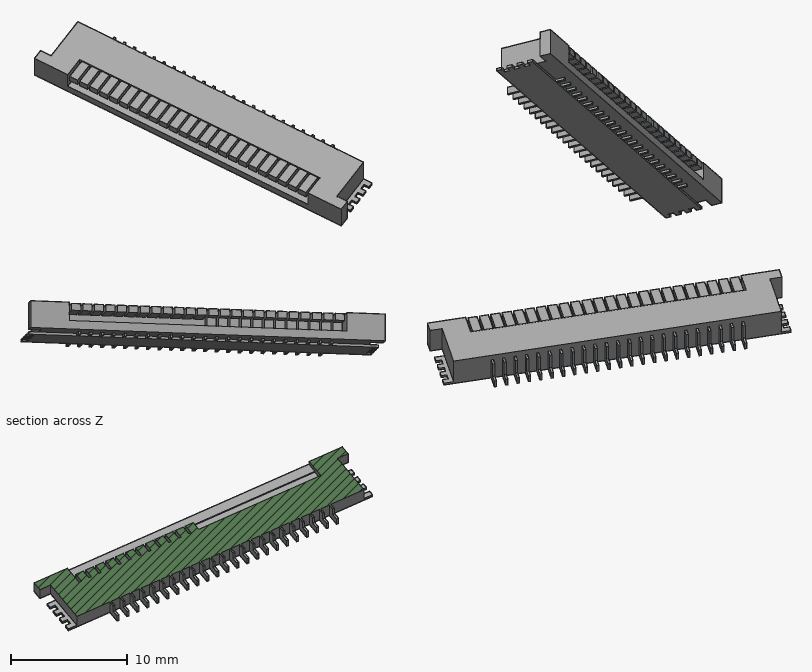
import cadquery as cq

total_width = 30.92
total_depth = 6.54
total_height = 2.56

contact_count = 23
pitch = 1.0
contact_width = 0.2
foot_length = 1.2
foot_height = 0.65
upright_length = 0.56
upright_height = 2.05

body_width = 28.8
body_bottom = 0.22
body_back = total_depth - foot_length
ear_depth = 1.0

tab_span = 30.5
tab_front = 1.85
tooth_count = 4
tooth_length = 0.5

slot_gap = 0.2
finger_count = contact_count + 1
finger_width = pitch - slot_gap
opening_width = finger_count * pitch + slot_gap
opening_depth = 1.93
opening_floor = 0.95
lip_step = 0.1
cavity_floor = opening_floor - lip_step
finger_drop = 0.1
finger_bottom = 1.86


def centred_box(x_centre, width, y_min, y_max, z_min, z_max):
    """Axis-aligned block placed by its middle and width along X."""
    block = cq.Workplane("XY").box(width, y_max - y_min, z_max - z_min, centered=(True, False, False))
    return block.translate((x_centre, y_min, z_min))


def row_positions(count):
    """X positions of a row at contact pitch, centred on X = 0."""
    return [(index - (count - 1) / 2) * pitch for index in range(count)]


def make_housing():
    """Body with two front ears, hollowed by the cable opening."""
    body = centred_box(0, body_width, 0, body_back, body_bottom, total_height)
    ears = centred_box(0, total_width, 0, ear_depth, body_bottom, total_height)
    entry = centred_box(0, opening_width, 0, ear_depth, opening_floor, total_height)
    cavity = centred_box(0, opening_width, ear_depth, opening_depth, cavity_floor, total_height)
    return body.union(ears).cut(entry).cut(cavity)


def add_fingers(part):
    """Fingers over the opening; those on the +X half stand on dividers."""
    finger_top = total_height - finger_drop
    for x in row_positions(finger_count):
        part = part.union(centred_box(x, finger_width, 0, opening_depth, finger_bottom, finger_top))
        if x > 0:
            divider = centred_box(x, finger_width, ear_depth, opening_depth, cavity_floor, finger_bottom)
            part = part.union(divider)
    return part


def make_base_plate():
    """Plate under the body whose ends stick out as toothed tabs."""
    plate = centred_box(0, tab_span, tab_front, body_back, 0, body_bottom)
    notch_width = (body_back - tab_front - tooth_count * tooth_length) / (tooth_count - 1)
    for index in range(tooth_count - 1):
        y = tab_front + tooth_length + index * (tooth_length + notch_width)
        for side in (-1, 1):
            x = side * (tab_span - tooth_length) / 2
            notch = centred_box(x, tooth_length, y, y + notch_width, 0, body_bottom)
            plate = plate.cut(notch)
    return plate


def add_contacts(part):
    """Contacts: a rail under the body, then an L-shaped tail behind its back face."""
    for x in row_positions(contact_count):
        rail = centred_box(x, contact_width, ear_depth, body_back, 0, body_bottom)
        foot = centred_box(x, contact_width, body_back, total_depth, 0, foot_height)
        upright = centred_box(
            x, contact_width, body_back, body_back + upright_length, 0, upright_height
        )
        part = part.union(rail).union(foot).union(upright)
    return part


housing = add_fingers(make_housing())
result = add_contacts(housing.union(make_base_plate()))